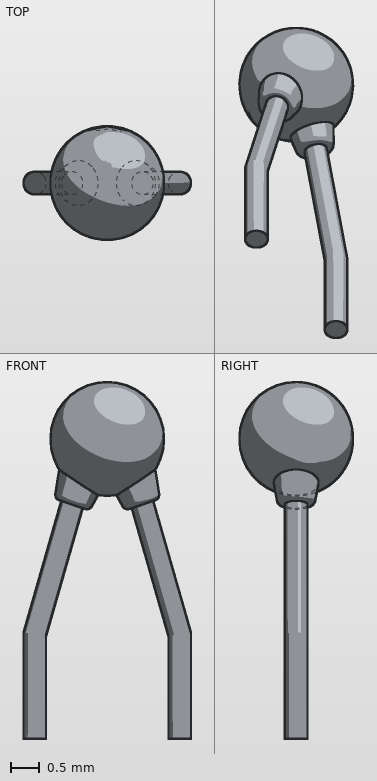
import cadquery as cq
import math

total_height = 6.26
bead_radius = 1.0
bead_center_z = total_height - bead_radius

lead_diameter = 0.4
lead_radius = lead_diameter / 2
lead_pitch = 2.54
lead_tilt = 16.0
bend_height = 1.835

collar_height = 4.11
collar_tilt = 19.0
collar_end_radius = 0.325
collar_half_angle = 10.0
collar_fillet = 0.1
collar_length = 0.9
collar_top_radius = collar_end_radius + collar_length * math.tan(math.radians(collar_half_angle))

lead_x = lead_pitch / 2
lead_slope = math.tan(math.radians(lead_tilt))


def make_bead():
    return cq.Workplane("XY").sphere(bead_radius).translate((0, 0, bead_center_z))


def make_lead():
    """Left lead: a vertical leg mitred into a leg that leans in and ends inside the bead."""
    rise = bead_center_z - bend_height
    lean = rise * lead_slope
    path = (
        cq.Workplane("XZ")
        .moveTo(-lead_x, 0)
        .lineTo(-lead_x, bend_height)
        .lineTo(-lead_x + lean, bead_center_z)
    )
    return (
        cq.Workplane("XY")
        .center(-lead_x, 0)
        .circle(lead_radius)
        .sweep(path, transition="right")
    )


def make_collar():
    """Left collar: a cone around the leaning lead, rounded at its lower rim."""
    upright = (
        cq.Workplane("XZ")
        .lineTo(collar_end_radius, 0)
        .lineTo(collar_top_radius, collar_length)
        .lineTo(0, collar_length)
        .close()
        .revolve(360, (0, 0), (0, 1))
        .faces("<Z")
        .edges()
        .fillet(collar_fillet)
    )
    collar_x = -lead_x + (collar_height - bend_height) * lead_slope
    leaning = upright.rotate((0, 0, 0), (0, 1, 0), collar_tilt)
    return leaning.translate((collar_x, 0, collar_height))


left_side = make_lead().union(make_collar())
right_side = left_side.mirror("YZ")
result = make_bead().union(left_side).union(right_side)